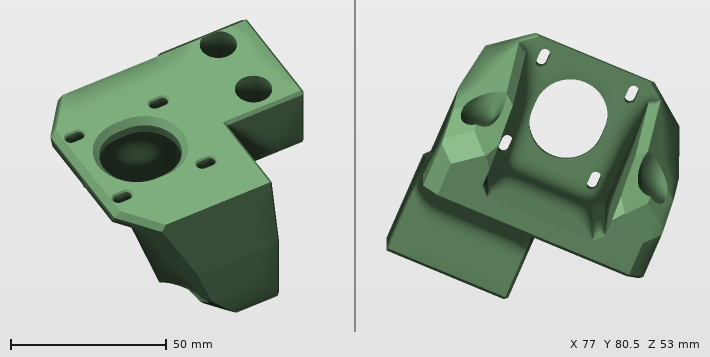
import cadquery as cq
import math

width = 77.0
depth = 80.5
height = 53.0
side_x = width / 2

plate_thickness = 5.15
plate_bottom = height - plate_thickness
leg_back = 51.5
arm_right = 3.6
arm_bottom = 29.15
arm_overlap = 3.2
back_chamfer = 1.05
side_chamfer = 5.0
front_chamfer = 2.1

corner_x = 20.85
corner_angle = 37.9
corner_facets = [(15.0, height - front_chamfer), (34.0, 15.45), (51.0, 5.9)]

sole_front = (32.45, 0.0)
foot_bend = (24.55, 9.7)
foot_nose = (14.5, 17.0)

pocket_half = 21.4
pocket_back = 44.9
pocket_chamfer = 3.0
mouth_half = 24.8
mouth_turn = 28.0
mouth_lean = 16.6
toe_x = 24.3
toe_turn = 52.0
toe_lean = 44.8

shaft_diameter = 24.0
shaft_y = 21.6
shaft_travel = 3.0
shaft_chamfer = 2.1
motor_pitch = 31.0
slot_width = 3.4
slot_travel = 3.0
slot_chamfer = 0.6
arm_hole_diameter = 12.0
arm_hole_depth = 20.0
arm_hole_y = 66.5
arm_hole_xs = (-28.4, -5.5)
bolt_diameter = 7.3
bolt_head_diameter = 12.0
bolt_x = 29.95
bolt_z = 14.0
bolt_seat_y = 41.5

far = 241.5


def box(x_range, y_range, z_range):
    """Box between pairs of limits."""
    sizes = [high - low for low, high in (x_range, y_range, z_range)]
    low_corner = (x_range[0], y_range[0], z_range[0])
    return cq.Workplane("XY").box(*sizes, centered=False).translate(low_corner)


def outside(point, normal):
    """Large block filling the space on the normal's side of a plane."""
    return cq.Workplane(cq.Plane(origin=point, normal=normal)).rect(far, far).extrude(far)


def facet_normal(turn, lean):
    """Outward normal of a front facet turned from -Y towards +X and leaning down, in degrees."""
    turn = math.radians(turn)
    lean = math.radians(lean)
    level = math.cos(lean)
    return (level * math.sin(turn), -level * math.cos(turn), -math.sin(lean))


def cut_both_sides(body, tool):
    """Cut a tool and its mirror image across X = 0."""
    return body.cut(tool).cut(tool.mirror("YZ"))


def side_draft(y_end):
    """Prism that slopes the upper left side, from the front to y_end."""
    section = [(-side_x, arm_bottom), (-side_x, height), (side_chamfer - side_x, height)]
    return cq.Workplane("XZ").polyline(section).close().extrude(far).translate((0, y_end, 0))


def make_leg():
    """Front block with sloped right side, bevelled sole and a chamfered back face."""
    leg = box((-side_x, side_x), (0, leg_back), (0, height))
    leg = leg.edges("|Y and <Z").chamfer(side_chamfer)
    leg = leg.cut(side_draft(leg_back).mirror("YZ"))
    return leg.faces(">Y").edges().chamfer(back_chamfer)


def make_arm():
    """Block behind the left half of the leg."""
    arm = box((-side_x, arm_right), (leg_back - arm_overlap, depth), (arm_bottom, height))
    return arm.faces(">X or >Y").edges("not(<X or <Y)").chamfer(back_chamfer)


def slope_left_side(body):
    """Arm edge chamfer and leg draft, blended by a triangular facet that ends at the leg's back."""
    rail = [(-side_x, height - side_chamfer), (-side_x, height), (side_chamfer - side_x, height)]
    body = body.cut(cq.Workplane("XZ", origin=(0, depth, 0)).polyline(rail).close().extrude(depth))
    draft_end = cq.Vector(-side_x, leg_back - side_chamfer, arm_bottom)
    along_draft = cq.Vector(side_chamfer, 0, height - arm_bottom)
    to_tip = cq.Vector(0, side_chamfer, height - arm_bottom)
    blend = outside(draft_end, to_tip.cross(along_draft))
    return body.cut(side_draft(leg_back).cut(blend))


def facet_starts():
    """A point at the top of each left corner facet, following the facets down the slope."""
    turn = math.radians(corner_angle)
    x, y = -corner_x, 0.0
    starts = []
    for index, (lean, z) in enumerate(corner_facets):
        if index:
            upper_lean, upper_z = corner_facets[index - 1]
            inset = (upper_z - z) * math.tan(math.radians(upper_lean))
            x += inset * math.sin(turn)
            y += inset * math.cos(turn)
        starts.append((x, y, z))
    return starts


def cut_front(body):
    """Chamfered front edge, slanted corners and the undercut foot."""
    top_edge = (-corner_x, 0, height - front_chamfer)
    body = body.cut(outside(top_edge, (0, -1, 1)))
    mitre_lean = -math.degrees(math.atan(math.cos(math.radians(corner_angle))))
    body = cut_both_sides(body, outside(top_edge, facet_normal(-corner_angle, mitre_lean)))
    for (lean, _), start in zip(corner_facets, facet_starts()):
        body = cut_both_sides(body, outside(start, facet_normal(-corner_angle, lean)))
    undercut = [sole_front, foot_bend, foot_nose, (foot_nose[0], 0)]
    foot = cq.Workplane("YZ", origin=(-side_x, 0, 0)).polyline(undercut).close().extrude(width)
    return body.cut(foot)


def cut_pocket(body):
    """Pocket under the plate with chamfered back corners and a flared mouth."""
    pocket = box((-pocket_half, pocket_half), (-far, pocket_back), (0, plate_bottom))
    body = body.cut(pocket.edges("|Z and >Y").chamfer(pocket_chamfer))
    lip = box((-mouth_half, -pocket_half), (-far, pocket_back), (0, plate_bottom))
    _, y, z = facet_starts()[0]
    mouth_y = y + (mouth_half - corner_x) * math.tan(math.radians(corner_angle))
    flare = outside((-mouth_half, mouth_y, z), facet_normal(mouth_turn, mouth_lean))
    toe = outside((-toe_x, *sole_front), facet_normal(toe_turn, toe_lean))
    for bevel in (flare, toe):
        body = cut_both_sides(body, lip.intersect(bevel))
    return body


def chamfered_slot(x, y, slot_size, travel, chamfer):
    """Tool for a slot along Y through the plate, chamfered at the top."""
    top = cq.Workplane("XY", origin=(x, y, height))
    slot = top.slot2D(slot_size + travel, slot_size, 90).extrude(-plate_thickness)
    rim_width = slot_size + 2 * chamfer
    rim = top.slot2D(rim_width + travel, rim_width, 90).extrude(-chamfer, taper=45)
    return slot.union(rim)


def cut_holes(body):
    """Shaft opening, motor slots, blind arm holes and counterbored bolt holes."""
    body = body.cut(chamfered_slot(0, shaft_y, shaft_diameter, shaft_travel, shaft_chamfer))
    for x in (-motor_pitch / 2, motor_pitch / 2):
        for y in (shaft_y - motor_pitch / 2, shaft_y + motor_pitch / 2):
            body = body.cut(chamfered_slot(x, y, slot_width, slot_travel, slot_chamfer))
    for x in arm_hole_xs:
        top = cq.Workplane("XY", origin=(x, arm_hole_y, height))
        body = body.cut(top.circle(arm_hole_diameter / 2).extrude(-arm_hole_depth))
    front = cq.Workplane("XZ").center(-bolt_x, bolt_z)
    body = cut_both_sides(body, front.circle(bolt_diameter / 2).extrude(-leg_back))
    return cut_both_sides(body, front.circle(bolt_head_diameter / 2).extrude(-bolt_seat_y))


result = make_leg().union(make_arm())
result = slope_left_side(result)
result = cut_front(result)
result = cut_pocket(result)
result = cut_holes(result)